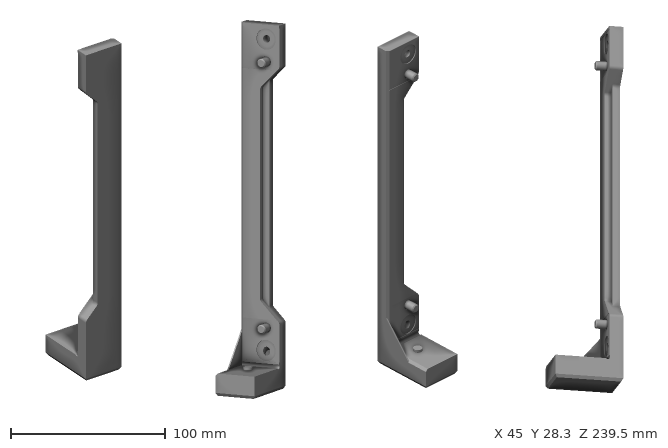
import cadquery as cq


length = 45.0
width = 28.3
height = 239.5
plate_thickness = 9.3
foot_height = 14.9
plate_face = length - plate_thickness

waist_bottom = 44.3
waist_top = height - 28.0
front_layer = 4.3
front_waist_depth = 14.0
rear_waist_depth = 9.3
waist_fillet = 3.0

side_chamfer = 1.7
gusset_toe = 17.5
gusset_top = 36.0
gusset_thickness = 1.0

relief_diameter = 3.0
relief_offset = 1.0
bevel_height = 2.04
bevel_inset = 1.2

seat_depth = 0.2
lower_seat = (foot_height + 3.5, waist_bottom + 1.7)
upper_seat = (waist_top - 1.7, height - 2.0)

hole_y = 9.5
lower_hole_z = 25.6
upper_hole_z = height - 9.5
hole_diameter = 5.0
upper_hole_depth = 7.2
lower_hole_depth = 5.3
lower_hole_tilt = 30.0
spotface_diameter = 14.0
spotface_depth = 1.0

pin_spacing = 14.9
pin_heights = (lower_hole_z + pin_spacing, upper_hole_z - pin_spacing)
pin_diameter = 6.0
pin_reach = 7.2
pin_chamfer = 0.7
clearance_diameter = 7.0
clearance_depth = 1.2

stud_x = 21.0
stud_y = width - 13.0
stud_diameter = 6.0
stud_height = 2.0


def side_profile(points, y_start, y_end):
    """Extrude an XZ outline between two Y positions."""
    return cq.Workplane("XZ", origin=(0, y_start, 0)).polyline(points).close().extrude(y_start - y_end)


def cylinder_along_x(x, z, diameter, depth):
    return cq.Workplane("YZ", origin=(x, hole_y, z)).circle(diameter / 2).extrude(depth)


def make_angle():
    """L-shaped body with its two inner +Y edges chamfered."""
    outline = [
        (0, 0), (length, 0), (length, height), (plate_face, height),
        (plate_face, foot_height), (0, foot_height),
    ]
    upright_edge = cq.selectors.NearestToPointSelector((plate_face, width, (foot_height + height) / 2))
    foot_edge = cq.selectors.NearestToPointSelector((plate_face / 2, width, foot_height))
    return side_profile(outline, 0, width).edges(upright_edge + foot_edge).chamfer(side_chamfer)


def make_gusset():
    """Thin triangular web, continued into the corner so that it fills the chamfers."""
    slope = (gusset_top - foot_height) / (plate_face - gusset_toe)
    corner_x = plate_face + side_chamfer
    corner_z = foot_height - side_chamfer
    points = [
        (gusset_toe - side_chamfer / slope, corner_z),
        (corner_x, corner_z),
        (corner_x, gusset_top + side_chamfer * slope),
    ]
    return side_profile(points, width - gusset_thickness, width)


def make_waist_cut(depth, x, thickness):
    """Trapezoid with 45 degree ends and rounded inner corners, running out past Y = 0."""
    points = [
        (-depth, waist_bottom - depth), (depth, waist_bottom + depth),
        (depth, waist_top - depth), (-depth, waist_top + depth),
    ]
    cut = cq.Workplane("YZ", origin=(x, 0, 0)).polyline(points).close().extrude(thickness)
    return cut.edges("|X and >Y").fillet(waist_fillet)


def round_waist_ends(body):
    """Round the two edges where the sloping ends of the waist meet the -Y side."""
    reach = 0.2
    waist_edges = cq.selectors.BoxSelector(
        (plate_face - reach, -reach, waist_bottom - reach),
        (length + reach, reach, waist_top + reach),
    )
    return body.edges(waist_edges).edges("|X").fillet(waist_fillet)


def make_underside_bevel():
    """Ring of material that lies outside a foot tapering toward the underside."""
    slab = cq.Workplane("XY").rect(length, width).extrude(bevel_height)
    taper = (
        cq.Workplane("XY").rect(length - 2 * bevel_inset, width - 2 * bevel_inset)
        .workplane(offset=bevel_height).rect(length, width).loft()
    )
    return slab.cut(taper).translate((length / 2, width / 2, 0))


def make_relief_groove():
    center = (plate_face - relief_offset, 0, foot_height + relief_offset)
    groove = cq.Workplane("XZ", origin=center).circle(relief_diameter / 2)
    return groove.extrude(gusset_thickness - width)


def make_seat(bottom, top):
    seat = cq.Workplane("XY").box(seat_depth, width - side_chamfer, top - bottom, centered=False)
    return seat.translate((plate_face, 0, bottom))


def make_tilted_hole():
    """Blind hole that slopes down into the plate; it starts outside so that its mouth is complete."""
    hole = cylinder_along_x(plate_face - lower_hole_depth, lower_hole_z, hole_diameter, 2 * lower_hole_depth)
    pivot = (plate_face, hole_y, lower_hole_z)
    pivot_axis_end = (plate_face, hole_y + 2.5, lower_hole_z)
    return hole.rotate(pivot, pivot_axis_end, lower_hole_tilt)


def make_stud():
    stud = cq.Workplane("XY", origin=(stud_x, stud_y, foot_height)).circle(stud_diameter / 2)
    return stud.extrude(stud_height)


def make_pin(z):
    """Pin that runs from its chamfered tip to the back of the plate."""
    pin = cylinder_along_x(plate_face - pin_reach, z, pin_diameter, pin_reach + plate_thickness)
    return pin.faces("<X").chamfer(pin_chamfer)


def make_bracket(pins):
    rear_layer = plate_thickness - front_layer
    body = make_angle().union(make_gusset())
    body = body.cut(make_waist_cut(front_waist_depth, plate_face, front_layer))
    body = body.cut(make_waist_cut(rear_waist_depth, plate_face + front_layer, rear_layer))
    body = round_waist_ends(body)
    body = body.cut(make_underside_bevel())
    body = body.cut(make_relief_groove())
    for bottom, top in (lower_seat, upper_seat):
        body = body.cut(make_seat(bottom, top))
    for z in (lower_hole_z, upper_hole_z):
        body = body.cut(cylinder_along_x(plate_face, z, spotface_diameter, spotface_depth))
    body = body.cut(cylinder_along_x(plate_face, upper_hole_z, hole_diameter, upper_hole_depth))
    body = body.cut(make_tilted_hole())
    for z in pin_heights:
        body = body.cut(cylinder_along_x(plate_face, z, clearance_diameter, clearance_depth))
    for pin in pins:
        body = body.cut(pin)
    return body.union(make_stud())


locating_pins = [make_pin(z) for z in pin_heights]
bracket = make_bracket(locating_pins)

result = cq.Compound.makeCompound([bracket.solids().val(), *[pin.val() for pin in locating_pins]])